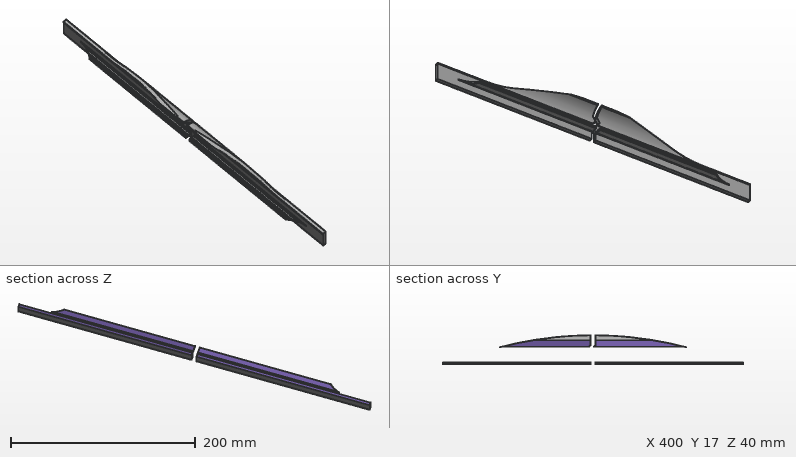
import cadquery as cq
import math

length = 400.0
depth = 17.0
height = 40.0

plate_thickness = 4.0
plate_height = 21.5

hood_start = 21.0
hood_offset = 1.0
hood_root_thickness = 4.0
hood_outer_radius = 17.5
lip_thickness = 2.0

crown_radius = 400.0
blend_radius = 132.0

shelf_top = 11.0
shelf_thickness = 2.5
shelf_root_thickness = 1.0
shelf_root_depth = 5.5
shelf_depth = 13.0
shelf_length = 347.0
flare_radius = 32.0
groove_depths = [6.0, 9.0, 11.5]
groove_size = 0.5

gap = 5.0
zigzag_size = 4.5
zigzag_height = 20.5

half_length = length / 2
margin = 4.0


def extrude_along_x(profile):
    """Extrude a closed YZ profile over the whole length, centred on X."""
    return profile.extrude(half_length, both=True)


def make_plate():
    return cq.Workplane("XY").box(
        length, plate_thickness, plate_height, centered=(True, False, False)
    ).translate((0, -plate_thickness, 0))


def make_hood():
    """Curved shell that thins towards its rounded lip; both arcs start vertical."""
    lip_radius = lip_thickness / 2
    lip_y = lip_radius - depth
    hood_back = -hood_offset
    hood_front = hood_back - hood_root_thickness
    outer_run = lip_y - hood_back + hood_outer_radius
    outer_start = height - math.sqrt(hood_outer_radius**2 - outer_run**2)
    inner_rise = height - lip_thickness - hood_start
    inner_reach = hood_front - lip_y
    inner_radius = (inner_reach**2 + inner_rise**2) / (2 * inner_reach)
    outer_mid_angle = math.acos(outer_run / hood_outer_radius) / 2
    inner_mid_angle = math.asin(inner_rise / inner_radius) / 2
    outer_mid = (
        hood_back - hood_outer_radius * (1 - math.cos(outer_mid_angle)),
        outer_start + hood_outer_radius * math.sin(outer_mid_angle),
    )
    inner_mid = (
        hood_front - inner_radius * (1 - math.cos(inner_mid_angle)),
        hood_start + inner_radius * math.sin(inner_mid_angle),
    )
    profile = (
        cq.Workplane("YZ")
        .moveTo(hood_back, hood_start)
        .lineTo(hood_back, outer_start)
        .threePointArc(outer_mid, (lip_y, height))
        .threePointArc((-depth, height - lip_radius), (lip_y, height - lip_thickness))
        .threePointArc(inner_mid, (hood_front, hood_start))
        .close()
    )
    return extrude_along_x(profile).intersect(make_crown_outline())


def make_crown_outline():
    """Region below the crown arc and the two blends tangent to it and to the plate top."""
    crown_centre = height - crown_radius
    blend_centre = plate_height + blend_radius
    rise = blend_centre - crown_centre
    centre_distance = crown_radius + blend_radius
    blend_start = math.sqrt(centre_distance**2 - rise**2)
    tangent_x = blend_start * crown_radius / centre_distance
    tangent_z = crown_centre + rise * crown_radius / centre_distance
    half_angle = math.asin(blend_start / centre_distance) / 2
    blend_mid_x = blend_start - blend_radius * math.sin(half_angle)
    blend_mid_z = blend_centre - blend_radius * math.cos(half_angle)
    return (
        cq.Workplane("XZ")
        .moveTo(-half_length, 0)
        .lineTo(-half_length, plate_height)
        .lineTo(-blend_start, plate_height)
        .threePointArc((-blend_mid_x, blend_mid_z), (-tangent_x, tangent_z))
        .threePointArc((0, height), (tangent_x, tangent_z))
        .threePointArc((blend_mid_x, blend_mid_z), (blend_start, plate_height))
        .lineTo(half_length, plate_height)
        .lineTo(half_length, 0)
        .close()
        .extrude(depth + margin)
    )


def make_shelf():
    """Ledge with a thinner root, grooved top and ends that flare into the plate."""
    bottom = shelf_top - shelf_thickness
    root_bottom = shelf_top - shelf_root_thickness
    profile = cq.Workplane("YZ").polyline([
        (-plate_thickness, shelf_top),
        (-shelf_depth, shelf_top),
        (-shelf_depth, bottom),
        (-shelf_root_depth, bottom),
        (-shelf_root_depth, root_bottom),
        (-plate_thickness, root_bottom),
    ]).close()
    shelf = extrude_along_x(profile)
    for groove_depth in groove_depths:
        groove = cq.Workplane("YZ").center(-groove_depth, shelf_top).rect(groove_size, 2 * groove_size)
        shelf = shelf.cut(extrude_along_x(groove))
    return shelf.intersect(make_shelf_outline())


def make_shelf_outline():
    root_x = shelf_length / 2
    reach = shelf_depth - plate_thickness
    flare_angle = math.acos(1 - reach / flare_radius)
    front_x = root_x - flare_radius * math.sin(flare_angle)
    mid_x = root_x - flare_radius * math.sin(flare_angle / 2)
    mid_y = -plate_thickness - flare_radius * (1 - math.cos(flare_angle / 2))
    return (
        cq.Workplane("XY")
        .moveTo(-root_x, -plate_thickness)
        .threePointArc((-mid_x, mid_y), (-front_x, -shelf_depth))
        .lineTo(front_x, -shelf_depth)
        .threePointArc((mid_x, mid_y), (root_x, -plate_thickness))
        .close()
        .extrude(height)
    )


def make_half_region(side):
    """Space on one side of the zigzag break; side is -1 for left and 1 for right."""
    edge_x = side * gap / 2
    end_x = side * (half_length + margin)
    return (
        cq.Workplane("XZ", origin=(0, margin, 0))
        .polyline([
            (end_x, -margin),
            (edge_x, -margin),
            (edge_x, zigzag_height - 2 * zigzag_size),
            (edge_x - zigzag_size, zigzag_height - zigzag_size),
            (edge_x + zigzag_size, zigzag_height + zigzag_size),
            (edge_x, zigzag_height + 2 * zigzag_size),
            (edge_x, height + margin),
            (end_x, height + margin),
        ])
        .close()
        .extrude(depth + 2 * margin)
    )


full_rail = make_plate().union(make_hood()).union(make_shelf())


def make_rail_half(side):
    return full_rail.intersect(make_half_region(side))


rail_halves = []
for side in (-1, 1):
    rail_halves.append(make_rail_half(side).val())

result = cq.Compound.makeCompound(rail_halves)